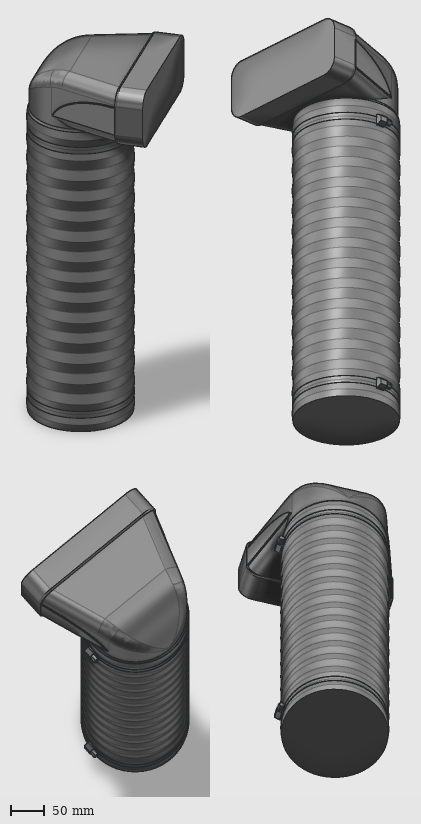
import cadquery as cq
import math

TOTAL_HEIGHT = 594.0
TOTAL_LENGTH = 209.0
OUTLET_WIDTH = 227.0

HOSE_HEIGHT = 501.0
CREST_RADIUS = 81.0
VALLEY_RADIUS = 79.0
PITCH_COUNT = 14
FIRST_CREST_Z = 11.0
LAST_CREST_Z = 487.5
PITCH = (LAST_CREST_Z - FIRST_CREST_Z) / PITCH_COUNT

BAND_WIDTH = 11.0
BAND_RADIUS = 80.0
CLAMP_LEVELS = [FIRST_CREST_Z + PITCH / 2, LAST_CREST_Z - PITCH / 2]
HEAD_ACROSS_FLATS = 8.5
HEAD_START_X = -10.5
HEAD_LENGTH = 9.5
HOUSING_LENGTH = 13.0
HOUSING_TOP_Y = 89.5
HOUSING_TOP_WIDTH = 9.0
HOUSING_BASE_Y = 82.5
HOUSING_BASE_WIDTH = 16.5

ELBOW_RADIUS = 77.0
ELBOW_TOP = 592.0
COLLAR_HEIGHT = 4.0
COLLAR_RADIUS = VALLEY_RADIUS
DUCT_BOTTOM = 502.5
DUCT_FILLET = 21.0
WALL_ANGLE = math.radians(18.7)

PANEL_HEIGHT = 2.0
PANEL_BEVEL = 1.0
PANEL_OVERHANG = 2.0
PANEL_BOTTOM = DUCT_BOTTOM + DUCT_FILLET - PANEL_OVERHANG
ELLIPSE_CENTER_Z = 509.0
ELLIPSE_LENGTH = 111.0
ELLIPSE_HEIGHT = 59.5

SLEEVE_START_X = 85.0
SLEEVE_END_X = TOTAL_LENGTH - CREST_RADIUS
SLEEVE_BOTTOM = HOSE_HEIGHT
SLEEVE_FILLET = 22.5
LEAD_IN = 3.0
SPIGOT_END_X = 115.0

TANGENT_X = -ELBOW_RADIUS * math.sin(WALL_ANGLE)
TANGENT_Y = ELBOW_RADIUS * math.cos(WALL_ANGLE)


def wall_y(x, offset=0.0):
    """Half width of the flared duct at x, measured to its wall moved outward by offset."""
    return (ELBOW_RADIUS + offset + x * math.sin(WALL_ANGLE)) / math.cos(WALL_ANGLE)


def rounded_bar(x_start, x_end, width, z_low, z_high, radius):
    """A bar along X with a rounded rectangular section."""
    return (
        cq.Workplane("XY", origin=(x_start, 0, z_low))
        .box(x_end - x_start, width, z_high - z_low, centered=(False, True, False))
        .edges("|X")
        .fillet(radius)
    )


def hose_radius(z):
    """Radius of the zigzag hose skin at height z."""
    pitches_from_first = (z - FIRST_CREST_Z) / PITCH
    pitches_from_nearest = abs(pitches_from_first - round(pitches_from_first))
    return CREST_RADIUS - 2 * pitches_from_nearest * (CREST_RADIUS - VALLEY_RADIUS)


def make_hose():
    """A round hose whose skin zigzags between crests and valleys."""
    turns = [FIRST_CREST_Z + i * PITCH / 2 for i in range(2 * PITCH_COUNT + 1)]
    skin = [(hose_radius(z), z) for z in [0, *turns, HOSE_HEIGHT]]
    return (
        cq.Workplane("XZ")
        .polyline([(0, 0), *skin, (0, HOSE_HEIGHT)])
        .close()
        .revolve(360, (0, 0, 0), (0, 1, 0))
    )


def make_flare():
    """The widening duct, with its lower side edges rounded and its top still square."""
    end_y = wall_y(SLEEVE_START_X)
    outline = [
        (TANGENT_X, -TANGENT_Y),
        (SLEEVE_START_X, -end_y),
        (SLEEVE_START_X, end_y),
        (TANGENT_X, TANGENT_Y),
    ]
    return (
        cq.Workplane("XY", origin=(0, 0, DUCT_BOTTOM))
        .polyline(outline)
        .close()
        .extrude(TOTAL_HEIGHT - DUCT_BOTTOM)
        .faces("<Z")
        .edges("not |Y")
        .fillet(DUCT_FILLET)
    )


def make_bend_space():
    """Everything below the roof of the elbow and behind its quarter-round back."""
    bend_z = ELBOW_TOP - ELBOW_RADIUS
    diagonal = ELBOW_RADIUS * math.sqrt(0.5)
    return (
        cq.Workplane("XZ")
        .moveTo(-ELBOW_RADIUS, HOSE_HEIGHT)
        .lineTo(-ELBOW_RADIUS, bend_z)
        .threePointArc((-diagonal, bend_z + diagonal), (0, ELBOW_TOP))
        .lineTo(SLEEVE_START_X, ELBOW_TOP)
        .lineTo(SLEEVE_START_X, HOSE_HEIGHT)
        .close()
        .extrude(OUTLET_WIDTH / 2, both=True)
    )


def make_side_panel(side):
    """A thin bevelled panel on the duct wall at side +1 or -1, bounded above by an ellipse."""
    outline = [
        (TANGENT_X, side * wall_y(TANGENT_X, -PANEL_HEIGHT)),
        (SLEEVE_START_X, side * wall_y(SLEEVE_START_X, -PANEL_HEIGHT)),
        (SLEEVE_START_X, side * wall_y(SLEEVE_START_X, PANEL_HEIGHT)),
        (TANGENT_X, side * wall_y(TANGENT_X, PANEL_HEIGHT)),
    ]
    slab = (
        cq.Workplane("XY", origin=(0, 0, PANEL_BOTTOM))
        .polyline(outline)
        .close()
        .extrude(ELLIPSE_HEIGHT)
    )
    ellipse = (
        cq.Workplane("XZ", origin=(SLEEVE_START_X, 0, ELLIPSE_CENTER_Z))
        .ellipse(ELLIPSE_LENGTH, ELLIPSE_HEIGHT)
        .extrude(OUTLET_WIDTH / 2, both=True)
    )
    outward = cq.Vector(-math.sin(WALL_ANGLE), side * math.cos(WALL_ANGLE), 0)
    return (
        slab.intersect(ellipse)
        .faces(cq.selectors.DirectionMinMaxSelector(outward))
        .edges("not (|Z and >X)")
        .chamfer(PANEL_BEVEL)
    )


def make_elbow():
    barrel = (
        cq.Workplane("XY", origin=(0, 0, HOSE_HEIGHT))
        .circle(ELBOW_RADIUS)
        .extrude(TOTAL_HEIGHT - HOSE_HEIGHT)
    )
    elbow = make_flare().union(barrel).intersect(make_bend_space())

    elbow = elbow.faces(">Z").edges("not |Y").fillet(DUCT_FILLET)

    collar_base = cq.Vector(0, 0, HOSE_HEIGHT)
    collar = cq.Solid.makeCone(COLLAR_RADIUS, ELBOW_RADIUS, COLLAR_HEIGHT, pnt=collar_base)
    elbow = elbow.union(cq.Workplane(collar))

    for side in (1, -1):
        elbow = elbow.union(make_side_panel(side))

    spigot_width = 2 * wall_y(SLEEVE_START_X)
    spigot = rounded_bar(
        SLEEVE_START_X, SPIGOT_END_X, spigot_width, DUCT_BOTTOM, ELBOW_TOP, DUCT_FILLET
    )
    return elbow.union(spigot)


def make_sleeve(elbow):
    """A rounded rectangular sleeve with a sloping lead-in and a socket for the spigot."""
    rim_x = SLEEVE_START_X + LEAD_IN
    body = rounded_bar(
        rim_x, SLEEVE_END_X, OUTLET_WIDTH, SLEEVE_BOTTOM, TOTAL_HEIGHT, SLEEVE_FILLET
    )
    lead_in_bar = rounded_bar(
        SLEEVE_START_X, rim_x, OUTLET_WIDTH, DUCT_BOTTOM, ELBOW_TOP, DUCT_FILLET
    )
    lead_in_sections = [bar.faces("<X").wires().val() for bar in (lead_in_bar, body)]
    lead_in = cq.Workplane(cq.Solid.makeLoft(lead_in_sections, True))
    return body.union(lead_in).cut(elbow)


def make_band(z):
    """A flat ring that bridges a valley of the hose and rests on its flanks."""
    inner_radius = hose_radius(z + BAND_WIDTH / 2)
    return (
        cq.Workplane("XY", origin=(0, 0, z - BAND_WIDTH / 2))
        .circle(BAND_RADIUS)
        .circle(inner_radius)
        .extrude(BAND_WIDTH)
    )


def make_screw(z):
    """A hexagon screw head lying along X, one corner pointing away from the hose."""
    corner_radius = HEAD_ACROSS_FLATS / math.sqrt(3)
    return (
        cq.Workplane("YZ", origin=(HEAD_START_X, HOUSING_TOP_Y - corner_radius, z))
        .polygon(6, 2 * corner_radius)
        .extrude(HEAD_LENGTH)
    )


def make_housing(z):
    """A tapered block seated on the band, against the inner end of the screw head."""
    outline = [
        (0, -HOUSING_BASE_WIDTH / 2),
        (HOUSING_BASE_Y, -HOUSING_BASE_WIDTH / 2),
        (HOUSING_TOP_Y, -HOUSING_TOP_WIDTH / 2),
        (HOUSING_TOP_Y, HOUSING_TOP_WIDTH / 2),
        (HOUSING_BASE_Y, HOUSING_BASE_WIDTH / 2),
        (0, HOUSING_BASE_WIDTH / 2),
    ]
    block = (
        cq.Workplane("YZ", origin=(HEAD_START_X + HEAD_LENGTH, 0, z))
        .polyline(outline)
        .close()
        .extrude(HOUSING_LENGTH)
    )
    band_space = (
        cq.Workplane("XY", origin=(0, 0, z))
        .circle(BAND_RADIUS)
        .extrude(HOUSING_BASE_WIDTH, both=True)
    )
    return block.cut(band_space)


hose = make_hose()
elbow = make_elbow()
sleeve = make_sleeve(elbow)
bands = [make_band(z).val() for z in CLAMP_LEVELS]
screws = [make_screw(z).val() for z in CLAMP_LEVELS]
housings = [make_housing(z).val() for z in CLAMP_LEVELS]

result = cq.Compound.makeCompound(
    [hose.val(), elbow.val(), sleeve.val(), *bands, *screws, *housings]
)